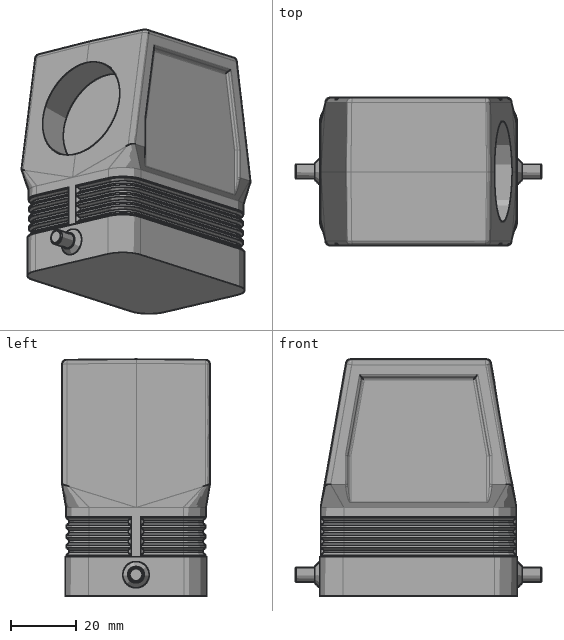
import cadquery as cq
import math

total_height = 72.0
base_height = 12.0
collar_top = 27.0
flare_top = 34.0

base_length = 60.1
base_width = 43.0
collar_length = 59.5
collar_width = 42.6
corner_radius = 7.0

hood_width = 45.0
hood_top_length = 43.7
hood_fillet = 1.5
end_ridge = 0.3
top_ridge = 0.2
end_slope = (collar_length - hood_top_length) / 2 / (total_height - collar_top)

groove_count = 4
groove_pitch = 3.0
groove_depth = 0.8
groove_floor = 0.7
groove_flank = 45.0
first_groove_level = 13.6
grip_band_top = 24.1
grip_band_depth = 0.12
grip_bar_width = 2.9

panel_floor = 21.56
panel_half_width = 21.8
panel_top = 66.8
panel_kink = 42.7
panel_bottom = 24.0
panel_draft = 35.0
panel_inner_fillet = 1.0
panel_outer_fillet = 0.95

pin_level = 6.5
pin_radius = 2.25
pin_tip = 37.5
pin_chamfer = 0.4
boss_small_radius = 2.5
boss_height = 1.5

entry_diameter = 30.5
entry_level = 49.6
entry_depth = 10.0

margin = 1.0
hair = 0.1


def rounded_block(length, width, radius, bottom, height, taper=0.0):
    """Rounded rectangle extruded upward; a positive taper narrows it."""
    outline = cq.Sketch().rect(length, width).vertices().fillet(radius)
    return cq.Workplane("XY", origin=(0, 0, bottom)).placeSketch(outline).extrude(height, taper=taper)


def hood_half_length(level):
    """X of the end-wall ridge at a given height."""
    return hood_top_length / 2 + end_slope * (total_height - level)


def hood_section(level):
    """Six-sided plan section whose ends come to a slight point at mid-width."""
    tip = hood_half_length(level)
    shoulder = tip - end_ridge
    half = hood_width / 2
    points = [(tip, 0), (shoulder, half), (-shoulder, half), (-tip, 0), (-shoulder, -half), (shoulder, -half)]
    return [cq.Vector(x, y, level) for x, y in points]


def make_hood():
    """Tapering hood with ridged ends and top, cut off below along the flare diagonals."""
    sections = [cq.Wire.makePolygon(hood_section(z), close=True) for z in (collar_top, total_height)]
    walls = cq.Workplane(cq.Solid.makeLoft(sections, True))
    half = hood_width / 2
    eaves = total_height - top_ridge
    side_profile = [(0, collar_top), (half, flare_top), (half, eaves), (0, total_height), (-half, eaves),
                    (-half, flare_top)]
    envelope = cq.Workplane("YZ").polyline(side_profile).close().extrude(base_length / 2, both=True)
    hood = walls.intersect(envelope)
    ceiling = total_height + margin
    above_flare = cq.selectors.BoxSelector(
        (-base_length, -hood_width, flare_top + margin), (base_length, hood_width, ceiling))
    ridges = cq.selectors.BoxSelector((-base_length, -margin, 0), (base_length, margin, ceiling))
    return hood.edges(above_flare - ridges).fillet(hood_fillet)


def make_flare():
    """Ruled transition from the collar outline up to the hood outline."""
    top_length = 2 * (hood_half_length(flare_top) - end_ridge)
    lower = cq.Sketch().rect(collar_length, collar_width).vertices().fillet(corner_radius)
    upper = cq.Sketch().rect(top_length, hood_width).vertices().fillet(hood_fillet)
    upper = upper.moved(cq.Location(cq.Vector(0, 0, flare_top - collar_top)))
    return cq.Workplane("XY", origin=(0, 0, collar_top)).placeSketch(lower, upper).loft(ruled=True)


def make_groove(level):
    """Ring of trapezoidal section, centred on a height, that runs round the collar."""
    mouth_inset = grip_band_depth
    floor_inset = mouth_inset + groove_depth
    half_height = groove_floor / 2 + groove_depth
    slab = (base_length + 2 * margin, base_width + 2 * margin, 2 * half_height)
    ring = cq.Workplane("XY", origin=(0, 0, level)).box(*slab)
    core = rounded_block(collar_length - 2 * floor_inset, collar_width - 2 * floor_inset,
                         corner_radius - floor_inset, level - half_height, 2 * half_height)
    mouth = (collar_length - 2 * mouth_inset, collar_width - 2 * mouth_inset, corner_radius - mouth_inset)
    lower_slope = rounded_block(*mouth, level - half_height, groove_depth, groove_flank)
    upper_slope = lower_slope.mirror("XY", (0, 0, level))
    return ring.cut(core).cut(lower_slope).cut(upper_slope)


def make_collar():
    """Grooved grip band under a plain rim, with an upright bar at each end."""
    inset = grip_band_depth
    band = rounded_block(collar_length - 2 * inset, collar_width - 2 * inset, corner_radius - inset,
                         base_height, grip_band_top - base_height)
    for index in range(groove_count):
        band = band.cut(make_groove(first_groove_level + index * groove_pitch))
    plain = rounded_block(collar_length, collar_width, corner_radius,
                          grip_band_top, collar_top - grip_band_top)
    collar = band.union(plain)
    for side in (-1, 1):
        collar = collar.union(make_grip_bar(side))
    return collar


def make_grip_bar(side):
    """Upright bar that interrupts the grooves, with 45 degree flanks."""
    outer = collar_length / 2
    inner = outer - 2 * groove_depth
    narrow = grip_bar_width / 2
    wide = narrow + outer - inner
    plan = [(side * outer, -narrow), (side * outer, narrow), (side * inner, wide), (side * inner, -wide)]
    height = grip_band_top - base_height
    return cq.Workplane("XY", origin=(0, 0, base_height)).polyline(plan).close().extrude(height)


def make_pin(side):
    """Locking pin with a chamfered tip, standing on a conical boss."""
    wall = base_length / 2
    boss_end = wall + boss_height
    boss_root_radius = boss_small_radius + boss_height
    profile = [(wall - margin, 0), (wall - margin, boss_root_radius), (wall, boss_root_radius),
               (boss_end, boss_small_radius), (boss_end, pin_radius), (pin_tip - pin_chamfer, pin_radius),
               (pin_tip, pin_radius - pin_chamfer), (pin_tip, 0)]
    points = [(side * x, r) for x, r in profile]
    pin = cq.Workplane("XZ", origin=(0, 0, pin_level)).polyline(points).close()
    return pin.revolve(360, (0, 0, 0), (1, 0, 0))


def make_panel_cutter():
    """Label recess for the -Y face: flat floor, drafted walls, rounded floor edge."""
    upper_half = panel_half_width - end_slope * (panel_top - panel_kink)
    outline = [(-panel_half_width, panel_bottom), (panel_half_width, panel_bottom),
               (panel_half_width, panel_kink), (upper_half, panel_top), (-upper_half, panel_top),
               (-panel_half_width, panel_kink)]
    depth = hood_width / 2 - panel_floor
    plane = cq.Workplane("XZ", origin=(0, -hood_width / 2, 0))
    cutter = plane.polyline(outline).close().extrude(-depth, taper=panel_draft)
    return cutter.faces(">Y").edges().fillet(panel_inner_fillet)


def round_panel_rims(body):
    """Round the outer edge of both label recesses, down onto the sloping flare."""
    reach = panel_half_width + hair
    face_y = hood_width / 2
    near_face = face_y - hair
    panel_mid_depth = (face_y + panel_floor) / 2
    for side in (-1, 1):
        on_face = cq.selectors.BoxSelector((-reach, side * near_face, flare_top + margin),
                                           (reach, side * (face_y + margin), panel_top + hair))
        on_flare = cq.selectors.BoxSelector((-reach, side * panel_mid_depth, collar_top),
                                            (reach, side * near_face, flare_top - hair))
        body = body.edges(on_face + on_flare).fillet(panel_outer_fillet)
    return body


def make_entry():
    """Cable entry bore, square to the sloping +X wall."""
    tilt = math.atan(end_slope)
    normal = cq.Vector(math.cos(tilt), 0, math.sin(tilt))
    wall_point = cq.Vector(hood_half_length(entry_level), 0, entry_level)
    start = wall_point + normal * margin
    return cq.Workplane(cq.Solid.makeCylinder(entry_diameter / 2, entry_depth + margin, start, normal * -1))


base = rounded_block(base_length, base_width, corner_radius, 0, base_height)
shell = base.union(make_collar()).union(make_flare()).union(make_hood())
for side in (-1, 1):
    shell = shell.union(make_pin(side))
panel = make_panel_cutter()
shell = shell.cut(panel).cut(panel.mirror("XZ"))
shell = round_panel_rims(shell)
result = shell.cut(make_entry())